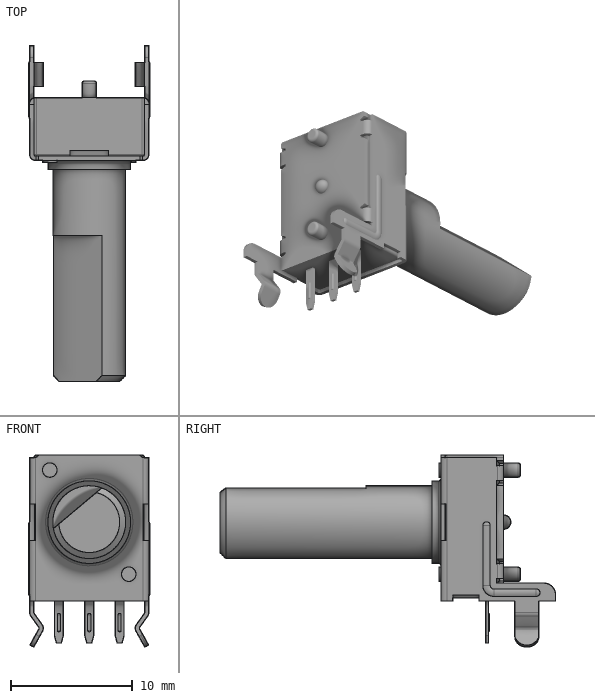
import cadquery as cq
import math


OVERALL_LENGTH = 27.6

SHEET = 0.35
BEND_R = 0.5
COVER_WIDTH = 9.8
COVER_HALF_W = COVER_WIDTH / 2
PLATE_TOP = 5.52
COVER_BOTTOM = -6.49
PLATE_CORNER = 0.25
WALL_TOP = 5.3
WALL_REAR = 4.58
WINDOW_HALF_H = 1.5
WINDOW_DEPTH = 0.41
NOTCH_FRONT = 1.0
NOTCH_REAR = 3.12
NOTCH_H = 0.5

FOOT_TOP = -5.0
FOOT_REAR = 9.45
FOOT_CORNER_R = 1.0

LEG_FRONT = 6.07
LEG_WIDTH = 2.0
LEG_BOTTOM = -10.27
LEG_BEND_Z = -7.53
LEG_KINK_X = 3.9
LEG_KINK_Z = -8.7
LEG_TIP_X = 4.72

BEAD_WIDTH = 0.6
BEAD_HEIGHT = 0.097
BEAD_WALL_Y = 3.75
BEAD_FOOT_Z = -5.8
BEAD_BEND_R = 0.6
BEAD_TOP = 0.03
BEAD_REAR = 8.15

CRIMP_Z = 4.03
CRIMP_WIDTH = 1.25

BUSHING_D = 6.8
BUSHING_LENGTH = 0.75
BUSHING_FILLET = 0.2

HOUSING_HALF_W = COVER_HALF_W - SHEET
HOUSING_TOP = PLATE_TOP
HOUSING_BOTTOM = -6.25
HOUSING_REAR = 5.15
HOUSING_EDGE_R = PLATE_TOP - WALL_TOP
HOUSING_FRONT_R = BEND_R - SHEET
TOP_NOTCH_WIDTH = 3.15
TOP_NOTCH_REAR = 0.83
TOP_NOTCH_DEPTH = 0.5

POCKET_WIDTH = 2.05
POCKET_SLOPE = 24
POCKET_DEPTH = 0.5

PEG_D = 1.2
PEG_Z = 4.28
PEG_REAR = 6.55
PEG_TIP_R = 0.22
RIVET_SPACING = 6.49
RIVET_X = RIVET_SPACING / 2
RIVET_HEIGHT = 0.152

SHAFT_D = 6.0
SHAFT_TIP = FOOT_REAR - OVERALL_LENGTH
SHAFT_CHAMFER = 0.5
FLAT_START = -6.15
FLAT_OFFSET = 1.5
FLAT_ANGLE = 40
PIVOT_D = PEG_D

PIN_SPAN = 5.0
PIN_PITCH = PIN_SPAN / 2
PIN_WIDTH = 0.75
PIN_TIP_W = 0.41
PIN_THICK = 0.25
PIN_FRONT = 3.67
PIN_BOTTOM = -9.94
PIN_TAPER_Z = -9.33
GROOVE_WIDTH = 0.25
GROOVE_TOP = -7.62
GROOVE_BOTTOM = -8.9
RIDGE_HEIGHT = 0.08


def box(x0, x1, y0, y1, z0, z1):
    """Box between two limits along each axis."""
    return cq.Workplane("XY").box(x1 - x0, y1 - y0, z1 - z0, centered=False).translate((x0, y0, z0))


def cylinder_y(diameter, y0, y1, x=0, z=0):
    """Cylinder along Y between y0 and y1."""
    return cq.Workplane("XZ", origin=(x, y0, z)).circle(diameter / 2).extrude(y0 - y1)


def both_sides(right_half):
    """A solid on the +X side together with its mirror image on the -X side."""
    return right_half.union(right_half.mirror("YZ"))


def folded_sheet():
    """Front plate and the two side walls, bent from one sheet."""
    inner_r = BEND_R - SHEET
    outer = box(-COVER_HALF_W, COVER_HALF_W, 0, WALL_REAR, COVER_BOTTOM, WALL_TOP)
    outer = outer.edges("|Z and <Y").fillet(BEND_R)
    inner = box(-HOUSING_HALF_W, HOUSING_HALF_W, SHEET, WALL_REAR, COVER_BOTTOM, WALL_TOP)
    inner = inner.edges("|Z and <Y").fillet(inner_r)
    flat_half_w = COVER_HALF_W - BEND_R
    upper_strip = box(-flat_half_w, flat_half_w, 0, SHEET, 0, PLATE_TOP)
    upper_strip = upper_strip.edges("|Y and >Z").chamfer(PLATE_CORNER)
    return outer.cut(inner).union(upper_strip)


def foot():
    """Rearward extension of the side wall with a rounded upper corner."""
    plate = box(HOUSING_HALF_W, COVER_HALF_W, WALL_REAR, FOOT_REAR, COVER_BOTTOM, FOOT_TOP)
    return plate.edges("|X and >Y and >Z").fillet(FOOT_CORNER_R)


def leg():
    """Snap-in leg: kinked inward and out again, with a fully rounded end."""
    wall_mid = COVER_HALF_W - SHEET / 2
    slope = math.atan2(LEG_TIP_X - LEG_KINK_X, LEG_KINK_Z - LEG_BOTTOM)
    tip_z = LEG_BOTTOM + SHEET / 2 * math.sin(slope)
    leg_mid = LEG_FRONT + LEG_WIDTH / 2
    stations = [
        (wall_mid, COVER_BOTTOM),
        (wall_mid, LEG_BEND_Z),
        (LEG_KINK_X, LEG_KINK_Z),
        (LEG_TIP_X, tip_z),
    ]
    centre_line = cq.Wire.makePolygon([cq.Vector(x, leg_mid, z) for x, z in stations])
    bends = [vertex for vertex in centre_line.Vertices() if tip_z < vertex.Z < COVER_BOTTOM]
    centre_line = centre_line.fillet(BEND_R - SHEET / 2, bends)
    root = cq.Workplane("XY", origin=(wall_mid, leg_mid, COVER_BOTTOM)).rect(SHEET, LEG_WIDTH)
    strip = root.sweep(centre_line)

    tip_plane = cq.Plane(
        origin=(LEG_TIP_X, leg_mid, tip_z),
        xDir=(0, 1, 0),
        normal=(math.cos(slope), 0, math.sin(slope)),
    )
    radius = LEG_WIDTH / 2
    corners = cq.Workplane(tip_plane).rect(LEG_WIDTH, LEG_WIDTH).extrude(SHEET, both=True)
    rounding = cq.Workplane(tip_plane).center(0, radius).circle(radius).extrude(SHEET, both=True)
    return strip.cut(corners.cut(rounding))


def bead():
    """Raised L-shaped bead with domed ends on the outer face of the wall and foot."""
    half_w = BEAD_WIDTH / 2
    bend_y = BEAD_WALL_Y + BEAD_BEND_R
    bend_z = BEAD_FOOT_Z + BEAD_BEND_R
    wall_end = BEAD_TOP - half_w
    foot_end = BEAD_REAR - half_w
    arc_r = (half_w**2 + BEAD_HEIGHT**2) / (2 * BEAD_HEIGHT)
    half_angle = math.asin(half_w / arc_r) / 2
    slope_mid = (arc_r * math.sin(half_angle), arc_r * (1 - math.cos(half_angle)) - BEAD_HEIGHT)

    def section(z):
        """Segment-shaped bead section across Y at height z, on the wall's outer face."""
        plane = cq.Plane(origin=(COVER_HALF_W, BEAD_WALL_Y, z), xDir=(0, 1, 0), normal=(0, 0, 1))
        start = cq.Workplane(plane).moveTo(-half_w, 0)
        return start.threePointArc((0, -BEAD_HEIGHT), (half_w, 0)).close()

    def dome(y, z):
        """Round bead end: the bead section turned about the normal of the wall."""
        plane = cq.Plane(origin=(COVER_HALF_W, y, z), xDir=(0, 1, 0), normal=(0, 0, 1))
        half_section = cq.Workplane(plane).lineTo(half_w, 0)
        half_section = half_section.threePointArc(slope_mid, (0, -BEAD_HEIGHT))
        return half_section.close().revolve(360, (0, 0), (0, 1))

    upright = section(bend_z).extrude(wall_end - bend_z)
    corner = section(bend_z).revolve(90, (BEAD_BEND_R, 0.28), (BEAD_BEND_R, 0))
    level_plane = cq.Plane(origin=(COVER_HALF_W, bend_y, BEAD_FOOT_Z), xDir=(0, 0, 1), normal=(0, 1, 0))
    level = cq.Workplane(level_plane).moveTo(-half_w, 0)
    level = level.threePointArc((0, BEAD_HEIGHT), (half_w, 0)).close().extrude(foot_end - bend_y)
    run = upright.union(corner).union(level)
    return run.union(dome(BEAD_WALL_Y, wall_end)).union(dome(foot_end, BEAD_FOOT_Z))


def crimp_tab(z):
    """Tab folded inward over the rear edge of the housing, into its pocket."""
    root = WALL_REAR - SHEET
    end_x = HOUSING_HALF_W - POCKET_DEPTH
    profile = box(end_x, COVER_HALF_W, root, HOUSING_REAR, z - CRIMP_WIDTH / 2, z + CRIMP_WIDTH / 2)
    profile = profile.edges("|Z and >X and >Y").fillet(BEND_R)
    hollow = box(end_x, HOUSING_HALF_W, root, HOUSING_REAR - SHEET, z - CRIMP_WIDTH / 2, z + CRIMP_WIDTH / 2)
    hollow = hollow.edges("|Z and >X and >Y").fillet(BEND_R - SHEET)
    return profile.cut(hollow)


def bushing():
    """Collar around the shaft with a concave fillet at its foot."""
    radius = BUSHING_D / 2
    foot_r = radius + BUSHING_FILLET
    bulge = BUSHING_FILLET * (1 - math.sqrt(0.5))
    profile = cq.Workplane("XY").lineTo(foot_r, 0)
    profile = profile.threePointArc((radius + bulge, -bulge), (radius, -BUSHING_FILLET))
    profile = profile.lineTo(radius, -BUSHING_LENGTH).lineTo(0, -BUSHING_LENGTH).close()
    return profile.revolve(360, (0, 0), (0, 1))


def make_cover():
    side = foot().union(leg()).union(bead())
    for z in (CRIMP_Z, -CRIMP_Z):
        side = side.union(crimp_tab(z))
    flat_half_w = COVER_HALF_W - BEND_R
    window = box(flat_half_w, COVER_HALF_W, 0, WINDOW_DEPTH, -WINDOW_HALF_H, WINDOW_HALF_H)
    notch = box(HOUSING_HALF_W, COVER_HALF_W, NOTCH_FRONT, NOTCH_REAR, COVER_BOTTOM, COVER_BOTTOM + NOTCH_H)
    cover = folded_sheet().union(both_sides(side))
    cover = cover.cut(both_sides(window)).cut(both_sides(notch))
    cover = cover.union(bushing()).cut(cylinder_y(SHAFT_D, -BUSHING_LENGTH, SHEET))
    for side_sign in (-1, 1):
        cover = cover.cut(cylinder_y(PEG_D, 0, SHEET, side_sign * RIVET_X, -side_sign * PEG_Z))
    return cover


def crimp_pocket(z):
    """Pocket with sloping walls in the side of the housing, open to the rear."""
    mouth = cq.Workplane("YZ", origin=(HOUSING_HALF_W, WALL_REAR + POCKET_WIDTH / 2, z))
    mouth = mouth.rect(POCKET_WIDTH, POCKET_WIDTH)
    return mouth.extrude(-POCKET_DEPTH, taper=POCKET_SLOPE)


def make_housing():
    housing = box(-HOUSING_HALF_W, HOUSING_HALF_W, SHEET, HOUSING_REAR, HOUSING_BOTTOM, HOUSING_TOP)
    housing = housing.edges("|Y").fillet(HOUSING_EDGE_R).faces("<Y").edges().fillet(HOUSING_FRONT_R)
    notch_half_w = TOP_NOTCH_WIDTH / 2
    notch_floor = HOUSING_TOP - TOP_NOTCH_DEPTH
    top_notch = box(-notch_half_w, notch_half_w, SHEET, TOP_NOTCH_REAR, notch_floor, HOUSING_TOP)
    housing = housing.cut(top_notch)
    for sign in (-1, 1):
        housing = housing.cut(both_sides(crimp_pocket(sign * CRIMP_Z)))
        peg = cylinder_y(PEG_D, HOUSING_REAR, PEG_REAR, z=sign * PEG_Z).faces(">Y").edges().fillet(PEG_TIP_R)
        rivet = cylinder_y(PEG_D, -RIVET_HEIGHT, SHEET, sign * RIVET_X, -sign * PEG_Z)
        housing = housing.union(peg).union(rivet)
    pivot_bore = cylinder_y(PIVOT_D, SHEET, HOUSING_REAR)
    return housing.cut(pivot_bore)


def make_shaft():
    """Shaft with a chamfered end, a long flat and a domed rear pivot."""
    shaft = cylinder_y(SHAFT_D, SHAFT_TIP, SHEET).faces("<Y").chamfer(SHAFT_CHAMFER)
    flat_cutter = box(-SHAFT_D, SHAFT_D, SHAFT_TIP, FLAT_START, FLAT_OFFSET, SHAFT_D)
    shaft = shaft.cut(flat_cutter.rotate((0, 0, 0), (0, 1, 0), -FLAT_ANGLE))
    dome = cq.Workplane("XY").sphere(PIVOT_D / 2).translate((0, HOUSING_REAR, 0))
    return shaft.union(cylinder_y(PIVOT_D, SHEET, HOUSING_REAR)).union(dome)


def make_terminal(x):
    """Flat pin with a tapered tip and a lengthwise groove pressed through as a ridge behind."""
    half_w = PIN_WIDTH / 2
    half_tip = PIN_TIP_W / 2
    outline = [
        (-half_w, HOUSING_BOTTOM),
        (-half_w, PIN_TAPER_Z),
        (-half_tip, PIN_BOTTOM),
        (half_tip, PIN_BOTTOM),
        (half_w, PIN_TAPER_Z),
        (half_w, HOUSING_BOTTOM),
    ]
    blade = cq.Workplane("XZ", origin=(0, PIN_FRONT, 0)).polyline(outline).close().extrude(-PIN_THICK)

    def pressed_bar(y):
        """Round-ended bar along the pin that stands out behind y by the height of the ridge."""
        half_groove = GROOVE_WIDTH / 2
        radius = (half_groove**2 + RIDGE_HEIGHT**2) / (2 * RIDGE_HEIGHT)
        length = GROOVE_TOP - GROOVE_BOTTOM
        bar = cq.Workplane("XY").circle(radius).extrude(length)
        for end in (0, length):
            bar = bar.union(cq.Workplane("XY").sphere(radius).translate((0, 0, end)))
        return bar.translate((0, y + RIDGE_HEIGHT - radius, GROOVE_BOTTOM))

    pin = blade.union(pressed_bar(PIN_FRONT + PIN_THICK)).cut(pressed_bar(PIN_FRONT))
    return pin.translate((x, 0, 0))


cover = make_cover()
housing = make_housing()
shaft = make_shaft()
terminals = [make_terminal(step * PIN_PITCH) for step in (-1, 0, 1)]

result = cq.Compound.makeCompound(
    [body.solids().val() for body in (cover, housing, shaft, *terminals)]
)